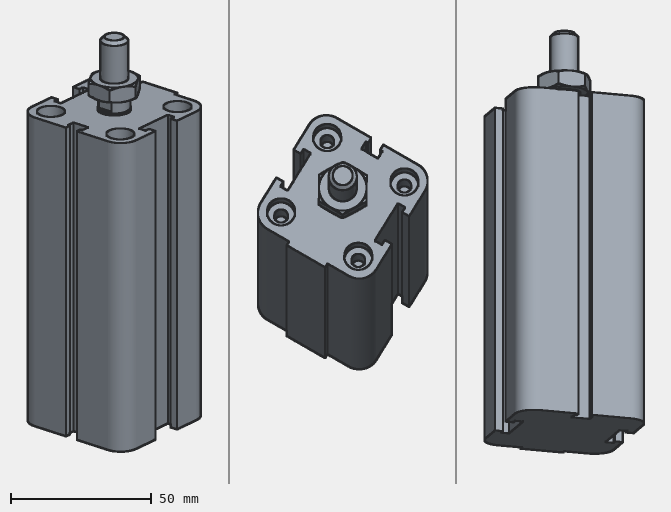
import cadquery as cq
import math


TOTAL_HEIGHT = 147.5
HOUSING_HEIGHT = 119.5
HOUSING_WIDTH = 48.0
CORNER_RADIUS = 7.1

PAD_WIDTH = 16.0
PAD_THICKNESS = 1.6

SIDE_MOUTH_WIDTH = 12.0
SIDE_CHAMBER_WIDTH = 16.1
SIDE_MOUTH_DEPTH = 3.0
SIDE_SLOT_DEPTH = 5.9
FRONT_MOUTH_WIDTH = 5.0
FRONT_CHAMBER_WIDTH = 6.8
FRONT_MOUTH_DEPTH = 2.2
FRONT_SLOT_DEPTH = 5.3

HOLE_PITCH = 32.0
COUNTERBORE_DIAMETER = 10.0
COUNTERBORE_DEPTH = 5.5
SCREW_HOLE_DIAMETER = 4.9
SCREW_HOLE_DEPTH = 14.5

ROD_DIAMETER = 11.7
SHOULDER_BEVEL = 0.3
COLLAR_DIAMETER = 12.0
COLLAR_HEIGHT = 0.7
COLLAR_BEVEL_HEIGHT = 0.3
THREAD_DIAMETER = 10.0
THREAD_LENGTH = 22.0
THREAD_CHAMFER = 1.5
FLAT_SIZE = 10.0
FLAT_START = 1.3

NUT_SIZE = 17.0
NUT_HEIGHT = 5.9
NUT_BEVEL_HEIGHT = 0.7

HALF_WIDTH = HOUSING_WIDTH / 2
SHOULDER_Z = TOTAL_HEIGHT - THREAD_LENGTH


def t_slot(mouth_width, chamber_width, mouth_depth, slot_depth):
    """T-slot cutter over the full housing height, open on the -Y face."""
    mouth = cq.Workplane().box(mouth_width, mouth_depth, HOUSING_HEIGHT, centered=(True, False, False))
    chamber = (
        cq.Workplane()
        .box(chamber_width, slot_depth - mouth_depth, HOUSING_HEIGHT, centered=(True, False, False))
        .translate((0, mouth_depth, 0))
    )
    return mouth.union(chamber).translate((0, -HALF_WIDTH, 0))


def make_housing():
    """Square profile with rounded corners, a rear pad, three T-slots and four screw holes."""
    body = (
        cq.Workplane()
        .rect(HOUSING_WIDTH, HOUSING_WIDTH)
        .extrude(HOUSING_HEIGHT)
        .edges("|Z")
        .fillet(CORNER_RADIUS)
    )

    pad_reach = HALF_WIDTH + PAD_THICKNESS
    pad = cq.Workplane().box(PAD_WIDTH, pad_reach, HOUSING_HEIGHT, centered=(True, False, False))
    body = body.union(pad)

    front_slot = t_slot(FRONT_MOUTH_WIDTH, FRONT_CHAMBER_WIDTH, FRONT_MOUTH_DEPTH, FRONT_SLOT_DEPTH)
    body = body.cut(front_slot)

    side_slot = t_slot(SIDE_MOUTH_WIDTH, SIDE_CHAMBER_WIDTH, SIDE_MOUTH_DEPTH, SIDE_SLOT_DEPTH)
    for angle in (-90, 90):
        body = body.cut(side_slot.rotate((0, 0, 0), (0, 0, 1), angle))

    return (
        body.faces(">Z")
        .workplane(origin=(0, 0, HOUSING_HEIGHT))
        .rect(HOLE_PITCH, HOLE_PITCH, forConstruction=True)
        .vertices()
        .cboreHole(SCREW_HOLE_DIAMETER, COUNTERBORE_DIAMETER, COUNTERBORE_DEPTH, SCREW_HOLE_DEPTH)
    )


def make_rod():
    """Piston rod standing on the housing, with a low bevelled collar at its foot and a threaded end."""
    shank = (
        cq.Workplane()
        .workplane(offset=HOUSING_HEIGHT)
        .circle(ROD_DIAMETER / 2)
        .extrude(SHOULDER_Z - HOUSING_HEIGHT)
        .faces(">Z")
        .chamfer(SHOULDER_BEVEL)
    )

    flat_z = HOUSING_HEIGHT + FLAT_START
    for side in (-1, 1):
        flat_cutter = (
            cq.Workplane()
            .box(ROD_DIAMETER, ROD_DIAMETER, SHOULDER_Z - flat_z, centered=(True, True, False))
            .translate((0, side * (FLAT_SIZE + ROD_DIAMETER) / 2, flat_z))
        )
        shank = shank.cut(flat_cutter)

    collar = (
        cq.Workplane()
        .workplane(offset=HOUSING_HEIGHT)
        .circle(COLLAR_DIAMETER / 2)
        .extrude(COLLAR_HEIGHT)
        .faces(">Z")
        .chamfer(COLLAR_BEVEL_HEIGHT, (COLLAR_DIAMETER - ROD_DIAMETER) / 2)
    )

    thread = (
        cq.Workplane()
        .workplane(offset=SHOULDER_Z)
        .circle(THREAD_DIAMETER / 2)
        .extrude(THREAD_LENGTH)
        .faces(">Z")
        .chamfer(THREAD_CHAMFER)
    )
    return shank.union(collar).union(thread)


def make_nut():
    """Hexagon nut resting on the rod shoulder, corners bevelled at both ends."""
    corner_radius = NUT_SIZE / math.sqrt(3)
    flat_radius = NUT_SIZE / 2
    hexagon = cq.Workplane().polygon(6, 2 * corner_radius).extrude(NUT_HEIGHT)

    bevel_envelope = (
        cq.Workplane("XZ")
        .moveTo(0, 0)
        .lineTo(flat_radius, 0)
        .lineTo(corner_radius, NUT_BEVEL_HEIGHT)
        .lineTo(corner_radius, NUT_HEIGHT - NUT_BEVEL_HEIGHT)
        .lineTo(flat_radius, NUT_HEIGHT)
        .lineTo(0, NUT_HEIGHT)
        .close()
        .revolve(360, (0, 0, 0), (0, 1, 0))
    )
    bore = cq.Workplane().circle(THREAD_DIAMETER / 2).extrude(NUT_HEIGHT)
    return hexagon.intersect(bevel_envelope).cut(bore).translate((0, 0, SHOULDER_Z))


housing = make_housing()
rod = make_rod()
nut = make_nut()

result = cq.Compound.makeCompound([housing.val(), rod.val(), nut.val()])